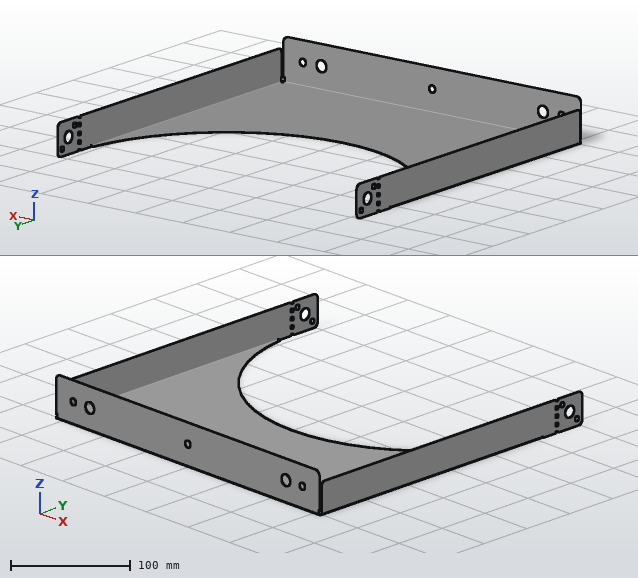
import cadquery as cq

width = 317.0
depth = 306.0
front_height = 40.0
side_height = 30.0
sheet = 0.5

bend_outer_radius = 1.3
bend_inner_radius = bend_outer_radius - sheet

front_edge_setback = 1.0
front_half_width = width / 2 - front_edge_setback
front_corner_radius = 5.0
front_hole_height = 20.5
fixing_hole_diameter = 6.3
fixing_hole_offset = 137.0
large_hole_diameter = 10.5
large_hole_offset = 117.3

side_start = 2.0
side_front_radius = 3.8
side_end_radius = 4.8
tab_length = 29.8
tab_hole_setback = tab_length / 2
pilot_hole_diameter = 4.5
pilot_hole_offset = 8.5
perforation_diameter = 3.2
perforation_count = 5

cutout_radius = 157.5
cutout_center_y = 279.3
floor_end = 260.0
relief_size = 2.2
relief_top = 4.5


def make_bent_tray():
    """Floor with three bent-up walls, open at the back."""
    outer = cq.Workplane("XY").box(width, depth, front_height, centered=(True, False, False))
    outer = outer.edges("<Z and (<X or >X or <Y)").fillet(bend_outer_radius)
    inner = (
        cq.Workplane("XY", origin=(0, sheet, sheet))
        .box(width - 2 * sheet, depth, front_height, centered=(True, False, False))
        .edges("<Z and (<X or >X or <Y)").fillet(bend_inner_radius)
    )
    return outer.cut(inner)


def make_side_outline():
    """Side profile extruded across the full width, used to trim the side walls."""
    side_length = depth - side_start
    outline = (
        cq.Workplane("YZ", origin=(-width / 2, side_start, 0))
        .rect(side_length, side_height, centered=False)
        .extrude(width)
    )
    outline = outline.edges("|X and >Y").fillet(side_end_radius)
    return outline.edges("|X and <Y and >Z").fillet(side_front_radius)


def make_front_outline():
    """Front profile, reaching back to the side walls, used to trim the front wall."""
    return (
        cq.Workplane("XY")
        .box(2 * front_half_width, side_start, front_height, centered=(True, False, False))
        .edges("|Y and >Z").fillet(front_corner_radius)
    )


def make_back_tabs():
    """Flat side-wall ends that reach down to the underside behind the floor."""
    tab_span = depth - floor_end
    tabs = cq.Workplane("XY")
    for x_start in (-width / 2, width / 2 - sheet):
        tab = (
            cq.Workplane("XY", origin=(x_start, floor_end, 0))
            .box(sheet, tab_span, side_height, centered=False)
            .edges("|X and >Y").fillet(side_end_radius)
        )
        tabs = tabs.add(tab)
    return tabs


def cut_floor(body):
    """Round cutout opening to the back, kept clear of the side walls."""
    cutter = (
        cq.Workplane("XY").center(0, cutout_center_y)
        .circle(cutout_radius).extrude(bend_outer_radius)
    )
    back_opening = (
        cq.Workplane("XY", origin=(0, floor_end, 0))
        .box(width, depth, bend_outer_radius, centered=(True, False, False))
    )
    return body.cut(cutter).cut(back_opening)


def cut_corner_reliefs(body):
    """Small reliefs where the front and side bends meet."""
    relief_height = relief_top - bend_outer_radius
    for x_center in (-width / 2, width / 2):
        relief = (
            cq.Workplane("XY", origin=(x_center, 0, bend_outer_radius))
            .rect(2 * relief_size, 2 * relief_size).extrude(relief_height)
        )
        body = body.cut(relief)
    return body


def cut_front_holes(body):
    """Center hole plus a fixing hole and a large hole on each side."""
    fixing_points = [(x, front_hole_height) for x in (-fixing_hole_offset, 0, fixing_hole_offset)]
    large_points = [(x, front_hole_height) for x in (-large_hole_offset, large_hole_offset)]
    plane = cq.Workplane("XZ")
    fixing = plane.pushPoints(fixing_points).circle(fixing_hole_diameter / 2).extrude(-bend_outer_radius)
    large = plane.pushPoints(large_points).circle(large_hole_diameter / 2).extrude(-bend_outer_radius)
    return body.cut(fixing).cut(large)


def cut_side_holes(body):
    """Tab holes and the perforated bend line, through both side walls."""
    hole_y = depth - tab_hole_setback
    hole_z = side_height / 2
    pilot_points = [(hole_y + s * pilot_hole_offset, hole_z - s * pilot_hole_offset) for s in (-1, 1)]
    pitch = side_height / (perforation_count - 1)
    perforations = [(depth - tab_length, i * pitch) for i in range(perforation_count)]
    groups = (
        ([(hole_y, hole_z)], large_hole_diameter),
        (pilot_points, pilot_hole_diameter),
        (perforations, perforation_diameter),
    )
    for points, diameter in groups:
        holes = cq.Workplane("YZ").pushPoints(points).circle(diameter / 2).extrude(width / 2, both=True)
        body = body.cut(holes)
    return body


outline = make_side_outline().union(make_front_outline())
tray = cut_floor(make_bent_tray().intersect(outline))
for tab in make_back_tabs().vals():
    tray = tray.union(cq.Workplane(tab))
tray = cut_corner_reliefs(tray)
tray = cut_front_holes(tray)
result = cut_side_holes(tray)